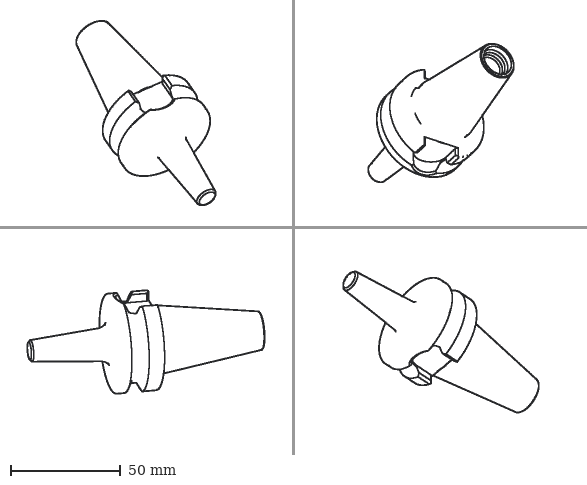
import cadquery as cq
import math


tolerance = 0.001

gauge_radius = 15.88
taper_slope = 7 / 48
shank_length = 48.3
taper_end_x = -1.5
shank_end_chamfer = 0.4
relief_radius = 15.5
relief_start_x = -0.5

flange_radius = 23.0
flange_rear_x = 2.0
flange_front_x = 21.9
flange_fillet = 1.0
relief_fillet = 0.9
groove_radius = 18.8
groove_center_x = 13.4
groove_floor_width = 3.3
groove_angle = 60
groove_fillet = 0.8

overall_length = 108.4
nose_tip_x = overall_length - shank_length
nose_tip_radius = 5.0
nose_chamfer = 0.9
nose_root_radius = 7.6
nose_blend_radius = 5.5

slot_half_width = 8.0
slot_floor_z = 16.2
slot_tip_x = 19.4
slot_arc_x = slot_tip_x - slot_half_width
slot_mouth_chamfer = 1.0
lug_edge_chamfer = 1.6
slot_end_chamfer = 1.0

mouth_radius = 7.3
pilot_radius = 7.0
pilot_depth = 2.8
neck_radius = 6.2
neck_start_depth = 3.9
neck_end_radius = 6.0
neck_end_depth = 5.7
thread_radius = 5.1
thread_depth = 23.8
drill_angle = 118


def taper_radius(x):
    return gauge_radius + taper_slope * x


def revolve_about_x(profile):
    return profile.close().revolve(360, (0, 0, 0), (1, 0, 0))


def make_shank():
    rear_x = -shank_length
    chamfer_x = rear_x + shank_end_chamfer
    return revolve_about_x(
        cq.Workplane("XY")
        .moveTo(rear_x, 0)
        .lineTo(rear_x, taper_radius(chamfer_x) - shank_end_chamfer)
        .lineTo(chamfer_x, taper_radius(chamfer_x))
        .lineTo(taper_end_x, taper_radius(taper_end_x))
        .lineTo(relief_start_x, relief_radius)
        .lineTo(flange_rear_x - relief_fillet, relief_radius)
        .radiusArc((flange_rear_x, relief_radius + relief_fillet), -relief_fillet)
        .lineTo(flange_rear_x, 0)
    )


def make_flange():
    blank = (
        cq.Workplane("YZ", origin=(flange_rear_x, 0, 0))
        .circle(flange_radius)
        .extrude(flange_front_x - flange_rear_x)
    )
    half_floor = groove_floor_width / 2
    half_top = half_floor + (flange_radius - groove_radius) / math.tan(math.radians(groove_angle))
    groove = revolve_about_x(
        cq.Workplane("XY")
        .moveTo(groove_center_x - half_top, flange_radius)
        .lineTo(groove_center_x - half_floor, groove_radius)
        .lineTo(groove_center_x + half_floor, groove_radius)
        .lineTo(groove_center_x + half_top, flange_radius)
    )
    floor_edges = cq.selectors.BoxSelector(
        (groove_center_x - half_floor - tolerance, -flange_radius, -flange_radius),
        (groove_center_x + half_floor + tolerance, flange_radius, flange_radius),
    )
    return blank.cut(groove).edges(floor_edges).fillet(groove_fillet)


def make_slot(side):
    """Round-ended key slot in the +Z (side = 1) or -Z (side = -1) of the flange."""
    mouth_half_width = slot_half_width + slot_mouth_chamfer
    chamfer_x = flange_rear_x + slot_mouth_chamfer
    return (
        cq.Workplane("XY", origin=(0, 0, side * slot_floor_z))
        .moveTo(flange_rear_x, -mouth_half_width)
        .lineTo(chamfer_x, -slot_half_width)
        .lineTo(slot_arc_x, -slot_half_width)
        .threePointArc((slot_tip_x, 0), (slot_arc_x, slot_half_width))
        .lineTo(chamfer_x, slot_half_width)
        .lineTo(flange_rear_x, mouth_half_width)
        .close()
        .extrude(side * flange_radius)
    )


def is_slot_rim(edge):
    """True for edges where a slot wall meets the outer cylinder of the flange."""
    points = [edge.positionAt(t) for t in (0, 0.3, 1)]
    on_cylinder = all(abs(math.hypot(p.y, p.z) - flange_radius) < tolerance for p in points)
    beside_slot = all(abs(p.y) < slot_half_width + tolerance for p in points)
    runs_along_axis = abs(points[0].x - points[1].x) > tolerance
    return on_cylinder and beside_slot and runs_along_axis


def make_slotted_flange():
    flange = make_flange()
    for side in (1, -1):
        flange = flange.cut(make_slot(side))
    rim_edges = [edge for edge in flange.edges().vals() if is_slot_rim(edge)]
    lug_edges = [edge for edge in rim_edges if edge.Center().x < groove_center_x]
    end_edges = [edge for edge in rim_edges if edge.Center().x > groove_center_x]
    flange = flange.newObject(lug_edges).chamfer(lug_edge_chamfer)
    return flange.newObject(end_edges).chamfer(slot_end_chamfer)


def make_flange_envelope():
    """Flange blank with rounded outer corners."""
    return (
        cq.Workplane("YZ", origin=(flange_rear_x, 0, 0))
        .circle(flange_radius)
        .extrude(flange_front_x - flange_rear_x)
        .edges()
        .fillet(flange_fillet)
    )


def make_nose():
    nose_root_x = flange_front_x + nose_blend_radius
    return revolve_about_x(
        cq.Workplane("XY")
        .moveTo(flange_front_x, 0)
        .lineTo(flange_front_x, nose_root_radius + nose_blend_radius)
        .radiusArc((nose_root_x, nose_root_radius), -nose_blend_radius)
        .lineTo(nose_tip_x - nose_chamfer, nose_tip_radius)
        .lineTo(nose_tip_x, nose_tip_radius - nose_chamfer)
        .lineTo(nose_tip_x, 0)
    )


def make_bore():
    mouth_x = -shank_length
    thread_x = mouth_x + thread_depth
    drill_x = thread_x + thread_radius / math.tan(math.radians(drill_angle / 2))
    return revolve_about_x(
        cq.Workplane("XY")
        .moveTo(mouth_x, 0)
        .lineTo(mouth_x, mouth_radius)
        .lineTo(mouth_x + pilot_depth, pilot_radius)
        .lineTo(mouth_x + neck_start_depth, neck_radius)
        .lineTo(mouth_x + neck_end_depth, neck_end_radius)
        .lineTo(mouth_x + neck_end_depth + neck_end_radius - thread_radius, thread_radius)
        .lineTo(thread_x, thread_radius)
        .lineTo(drill_x, 0)
    )


flange_body = make_slotted_flange().intersect(make_flange_envelope())
holder = make_shank().union(flange_body).union(make_nose())
result = holder.cut(make_bore())